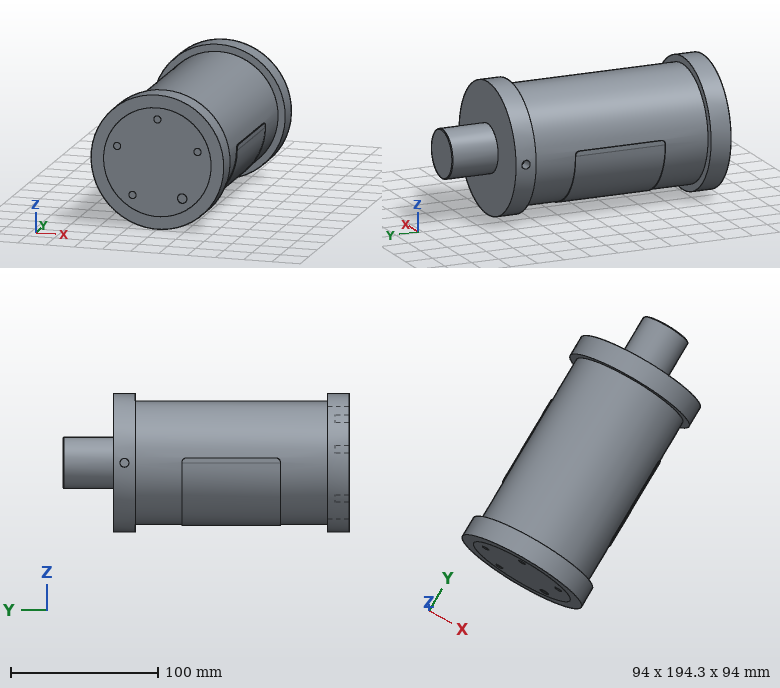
import cadquery as cq
import math

total_length = 194.3
flange_radius = 47.0
flange_width = 15.0
barrel_radius = 42.0
rear_flange_end = 160.1
shaft_radius = 17.5
shaft_chamfer = 0.5

saddle_start = 46.8
saddle_length = 66.8
saddle_radius = barrel_radius + 0.5
saddle_rise = 3.3
saddle_corner = 3.1

radial_hole_radius = 3.01
radial_hole_depth = 9.7

cover_radius = 38.0
cover_thickness = flange_width
place_count = 5
place_circle_radius = 30.0
pin_radius = 2.5
pin_length = 9.7
mark_radius = 3.3
mark_depth = 0.2
mark_place = 2


def cylinder(radius, start, length, x=0.0, z=0.0):
    """Cylinder along +Y whose first face lies at Y = start."""
    return cq.Workplane(cq.Solid.makeCylinder(radius, length, cq.Vector(x, start, z), cq.Vector(0, 1, 0)))


def place_position(place):
    """X and Z of one place on the five-place circle."""
    angle = math.radians(90 - place * 360 / place_count)
    return place_circle_radius * math.cos(angle), place_circle_radius * math.sin(angle)


def make_saddle():
    """U-shaped band: a half round with short straight sides and rounded top corners."""
    lower_half = (
        cq.Workplane("XZ", origin=(0, saddle_start, 0))
        .moveTo(-saddle_radius, saddle_rise)
        .lineTo(-saddle_radius, 0)
        .threePointArc((0, -saddle_radius), (saddle_radius, 0))
        .lineTo(saddle_radius, saddle_rise)
        .close()
        .extrude(-saddle_length)
    )
    return lower_half.faces(">Z").edges("|X").fillet(saddle_corner)


def make_radial_hole():
    """Cutter for the hole that enters the rear flange from -X."""
    hole_y = rear_flange_end - flange_width / 2
    entry = cq.Vector(-flange_radius, hole_y, 0)
    return cq.Workplane(
        cq.Solid.makeCylinder(radial_hole_radius, radial_hole_depth, entry, cq.Vector(1, 0, 0))
    )


def make_housing():
    front_flange = cylinder(flange_radius, 0, flange_width)
    barrel = cylinder(barrel_radius, 0, rear_flange_end)
    rear_flange = cylinder(flange_radius, rear_flange_end - flange_width, flange_width)
    shaft = cylinder(shaft_radius, rear_flange_end, total_length - rear_flange_end)
    shaft = shaft.faces(">Y").chamfer(shaft_chamfer)
    body = barrel.union(front_flange).union(rear_flange).union(shaft).union(make_saddle())
    cover_recess = cylinder(cover_radius, 0, cover_thickness)
    return body.cut(cover_recess).cut(make_radial_hole())


def make_pin(place):
    x, z = place_position(place)
    return cylinder(pin_radius, 0, pin_length, x, z)


def make_cover(pins):
    cover = cylinder(cover_radius, 0, cover_thickness)
    for pin in pins:
        cover = cover.cut(pin)
    mark_position = place_position(mark_place)
    mark = cylinder(mark_radius, 0, mark_depth, *mark_position)
    return cover.cut(mark)


pin_places = [place for place in range(place_count) if place != mark_place]
pins = [make_pin(place) for place in pin_places]
cover = make_cover(pins)
housing = make_housing()

result = cq.Compound.makeCompound([housing.val(), cover.val(), *[pin.val() for pin in pins]])